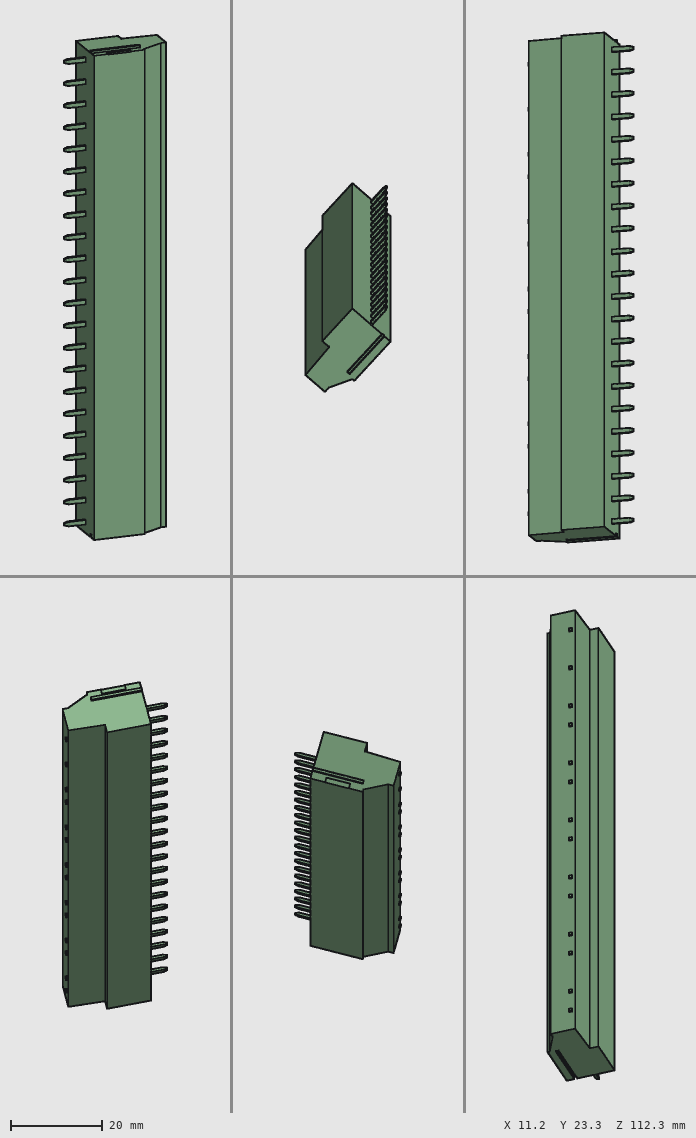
import cadquery as cq

poles = 22
total_height = 112.3
rail_height = 0.5
body_height = total_height - rail_height
pitch = body_height / poles

body_width = 11.2
body_depth = 18.1
shoulder_depth = 9.9
neck_left = 2.0
back_left = 2.4
back_right = 8.1
slope_top_depth = 16.8
slope_foot_x = 10.7
slope_foot_depth = 11.9

rail_left = 8.8
rail_width = 0.7
rail_length = 11.5
groove_depth = 0.7

recess_left = 10.1
recess_front = 3.4
recess_length = 5.4
recess_drop = 0.1

pin_x = 5.7
pin_width = 0.7
pin_thickness = 1.0
pin_length = 4.9
pin_tip_length = 0.9
pin_tip_ratio = 0.5

nub_left = 3.0
nub_size = 0.7
nub_height = 0.3
nub_cycle = 3
nub_joints = [1] + [joint for joint in range(3, poles) if joint % nub_cycle != 1]


def box(x, y, z, dx, dy, dz):
    """Box given by its lowest corner and its sizes."""
    return cq.Workplane("XY").box(dx, dy, dz, centered=False).translate((x, y, z))


def make_housing():
    outline = [
        (0, 0),
        (body_width, 0),
        (body_width, slope_foot_depth),
        (slope_foot_x, slope_foot_depth),
        (back_right, slope_top_depth),
        (back_right, body_depth),
        (back_left, body_depth),
        (neck_left, shoulder_depth),
        (0, shoulder_depth),
    ]
    return cq.Workplane("XY").polyline(outline).close().extrude(body_height)


def make_rail(base_z, height):
    """Bar shared by the top rail and, as a cutter, the bottom groove."""
    return box(rail_left, 0, base_z, rail_width, rail_length, height)


def make_recess():
    return box(
        recess_left, recess_front, body_height - recess_drop,
        body_width - recess_left, recess_length, recess_drop,
    )


def make_pin(z):
    """Flat pin from the front face to -Y, ending in a tapered tip."""
    shank_length = pin_length - pin_tip_length
    shank = (
        cq.Workplane("XZ", origin=(pin_x, 0, z))
        .rect(pin_width, pin_thickness)
        .extrude(shank_length)
    )
    return (
        shank.faces("<Y").workplane(centerOption="CenterOfMass")
        .rect(pin_width, pin_thickness)
        .workplane(offset=pin_tip_length)
        .rect(pin_width * pin_tip_ratio, pin_thickness * pin_tip_ratio)
        .loft(combine=True)
    )


def make_nub(z):
    return box(nub_left, body_depth, z - nub_size / 2, nub_size, nub_height, nub_size)


result = make_housing().union(make_rail(body_height, rail_height))
result = result.cut(make_rail(0, groove_depth)).cut(make_recess())
for pole in range(poles):
    result = result.union(make_pin((pole + 0.5) * pitch))
for joint in nub_joints:
    result = result.union(make_nub(body_height - joint * pitch))